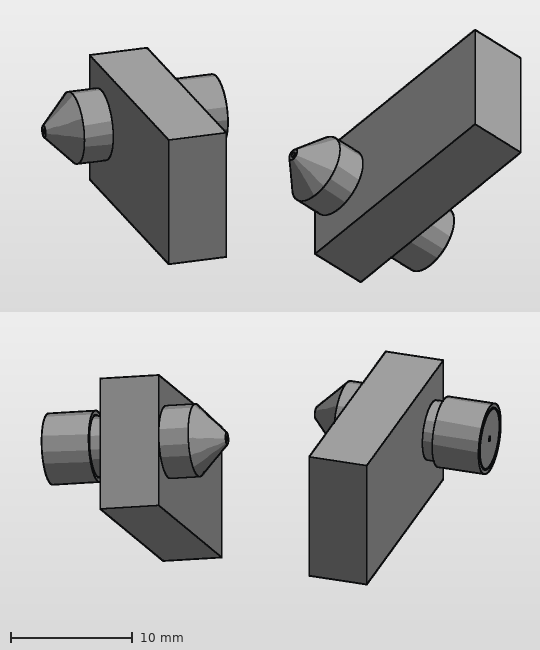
import cadquery as cq

block_length = 20.0
block_thickness = 5.0
block_height = 11.0

nozzle_diameter = 6.0
nozzle_straight_length = 2.5
cone_length = 2.5
tip_diameter = 1.0
bore_diameter = 0.4

neck_diameter = 5.0
exposed_neck_length = 1.0
sleeve_diameter = 5.9
sleeve_bore_diameter = 5.2
sleeve_length = 4.0

block_left = -nozzle_diameter / 2
axis_below_top = 5.0
block_bottom = axis_below_top - block_height
cone_base_y = -nozzle_straight_length
tip_y = cone_base_y - cone_length
sleeve_front_y = block_thickness + exposed_neck_length
sleeve_back_y = sleeve_front_y + sleeve_length


def cylinder_along_y(diameter, start_y, end_y):
    """Solid cylinder on the nozzle axis from start_y to end_y."""
    return (
        cq.Workplane("XZ", origin=(0, start_y, 0))
        .circle(diameter / 2)
        .extrude(start_y - end_y)
    )


def make_nozzle_tip():
    """Straight round section that tapers to the flat tip."""
    half_section = [
        (0, tip_y),
        (tip_diameter / 2, tip_y),
        (nozzle_diameter / 2, cone_base_y),
        (nozzle_diameter / 2, 0),
        (0, 0),
    ]
    return (
        cq.Workplane("XY")
        .polyline(half_section)
        .close()
        .revolve(360, (0, 0, 0), (0, 1, 0))
    )


def make_nozzle_block():
    """Block with the nozzle in front, the neck behind and a bore through all."""
    plate = cq.Workplane("XY").box(
        block_length, block_thickness, block_height, centered=False
    ).translate((block_left, 0, block_bottom))
    neck = cylinder_along_y(neck_diameter, block_thickness, sleeve_back_y)
    bore = cylinder_along_y(bore_diameter, tip_y, sleeve_back_y)
    return plate.union(make_nozzle_tip()).union(neck).cut(bore)


def make_sleeve():
    """Open tube around the rear part of the neck."""
    outside = cylinder_along_y(sleeve_diameter, sleeve_front_y, sleeve_back_y)
    opening = cylinder_along_y(sleeve_bore_diameter, sleeve_front_y, sleeve_back_y)
    return outside.cut(opening)


nozzle_block = make_nozzle_block()
sleeve = make_sleeve()

result = cq.Compound.makeCompound([nozzle_block.val(), sleeve.val()])